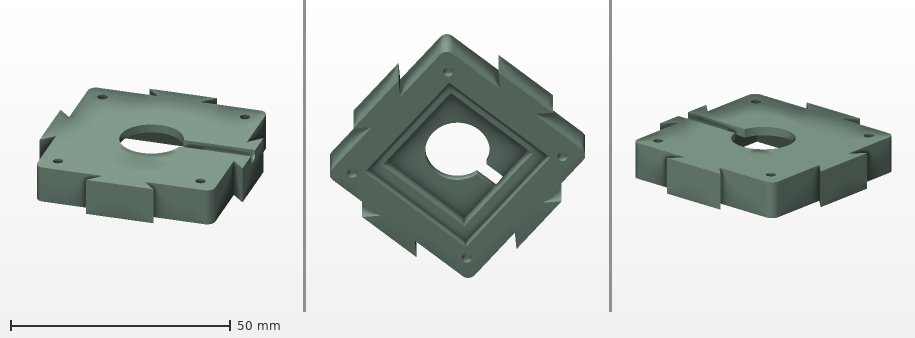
import cadquery as cq

overall_size = 48.5
thickness = 8.7
tail_depth = 3.0
body_size = overall_size - 2 * tail_depth
corner_radius = 1.95

tail_tip_width = 16.1
tail_root_width = tail_tip_width - 2 * tail_depth

bore_diameter = 14.75
screw_hole_diameter = 2.35
screw_hole_pitch = 34.05

roof_thickness = 2.05
pocket_size = 24.35
pocket_depth = thickness - roof_thickness
recess_size = 30.05
recess_depth = 2.65

slot_width = 3.4
slot_depth = roof_thickness
slot_round_radius = 1.1


def dovetail(angle):
    """Flared tail on the side of the plate facing the given direction."""
    root_x = body_size / 2
    tip_x = overall_size / 2
    inner_x = root_x - tail_depth
    outline = [
        (inner_x, -tail_root_width / 2),
        (root_x, -tail_root_width / 2),
        (tip_x, -tail_tip_width / 2),
        (tip_x, tail_tip_width / 2),
        (root_x, tail_root_width / 2),
        (inner_x, tail_root_width / 2),
    ]
    tail = cq.Workplane("XY").polyline(outline).close().extrude(thickness)
    return tail.rotate((0, 0, 0), (0, 0, 1), angle)


def square_pocket(size, depth):
    """Centred square cutter rising from the underside."""
    return cq.Workplane("XY").box(size, size, depth, centered=(True, True, False))


def cable_slot():
    """Slot with a rounded floor in the solid rim and plain walls through the pocket roof."""
    floor_z = thickness - slot_depth
    start = cq.Workplane("XY", origin=(0, 0, floor_z))
    channel = start.box(overall_size / 2, slot_width, slot_depth, centered=(False, True, False))
    channel = channel.edges("|X and <Z").fillet(slot_round_radius)
    roof_opening = start.box(pocket_size / 2, slot_width, slot_depth, centered=(False, True, False))
    return channel.union(roof_opening)


plate = cq.Workplane("XY").box(body_size, body_size, thickness, centered=(True, True, False))
plate = plate.edges("|Z").fillet(corner_radius)
for side_angle in (0, 90, 180, 270):
    plate = plate.union(dovetail(side_angle))

pocket = square_pocket(pocket_size, pocket_depth)
recess = square_pocket(recess_size, recess_depth)
bore = cq.Workplane("XY").circle(bore_diameter / 2).extrude(thickness)
screw_holes = (
    cq.Workplane("XY")
    .rect(screw_hole_pitch, screw_hole_pitch, forConstruction=True)
    .vertices()
    .circle(screw_hole_diameter / 2)
    .extrude(thickness)
)

result = plate.cut(pocket).cut(recess).cut(bore).cut(screw_holes).cut(cable_slot())